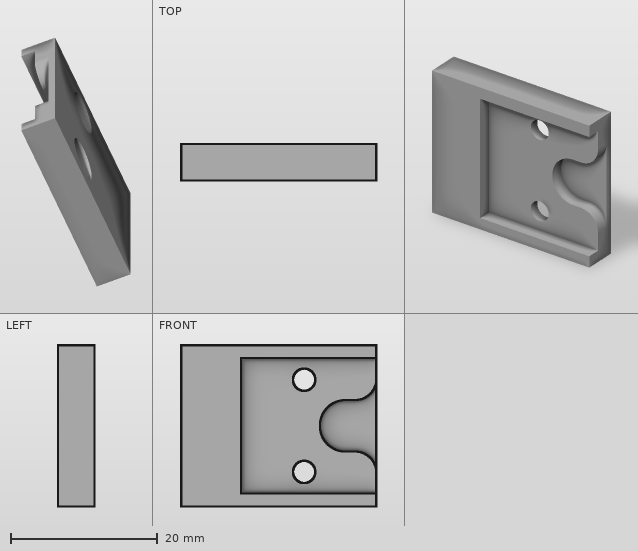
import cadquery as cq
import math

length = 26.65
thickness = 5.0
height = 22.0

pocket_start = 8.18
pocket_height = 18.5
pocket_depth = 2.0

hole_diameter = 3.0
hole_x = 16.8
hole_spacing = 12.58
recess_radius = 1.52

notch_depth = 2.0
notch_radius = 3.52
notch_tip_x = 18.92
flare_radius = 2.88


def block():
    return cq.Workplane("XY").box(length, thickness, height, centered=(False, False, True))


def pocket():
    return (
        cq.Workplane("XY")
        .box(length - pocket_start, pocket_depth, pocket_height, centered=(False, False, True))
        .translate((pocket_start, 0, 0))
    )


def recessed_hole(z):
    hole_radius = hole_diameter / 2
    recess_start_y = thickness - recess_radius
    arc_mid_offset = recess_radius * math.sqrt(0.5)
    return (
        cq.Workplane("XY")
        .lineTo(hole_radius, 0)
        .lineTo(hole_radius, recess_start_y)
        .threePointArc(
            (hole_radius + arc_mid_offset, thickness - arc_mid_offset),
            (hole_radius + recess_radius, thickness),
        )
        .lineTo(0, thickness)
        .close()
        .revolve(360, (0, 0, 0), (0, 1, 0))
        .translate((hole_x, 0, z))
    )


def notch():
    arc_center_x = notch_tip_x + notch_radius
    flare_start_x = length - flare_radius
    mouth_half_height = notch_radius + flare_radius
    flare_offset = flare_radius * math.sqrt(0.5)
    flare_mid_x = flare_start_x + flare_offset
    flare_mid_z = mouth_half_height - flare_offset
    return (
        cq.Workplane("XZ")
        .moveTo(length, mouth_half_height)
        .threePointArc((flare_mid_x, flare_mid_z), (flare_start_x, notch_radius))
        .lineTo(arc_center_x, notch_radius)
        .threePointArc((notch_tip_x, 0), (arc_center_x, -notch_radius))
        .lineTo(flare_start_x, -notch_radius)
        .threePointArc((flare_mid_x, -flare_mid_z), (length, -mouth_half_height))
        .close()
        .extrude(-(pocket_depth + notch_depth))
    )


result = block().cut(pocket()).cut(notch())
for hole_z in (-hole_spacing / 2, hole_spacing / 2):
    result = result.cut(recessed_hole(hole_z))